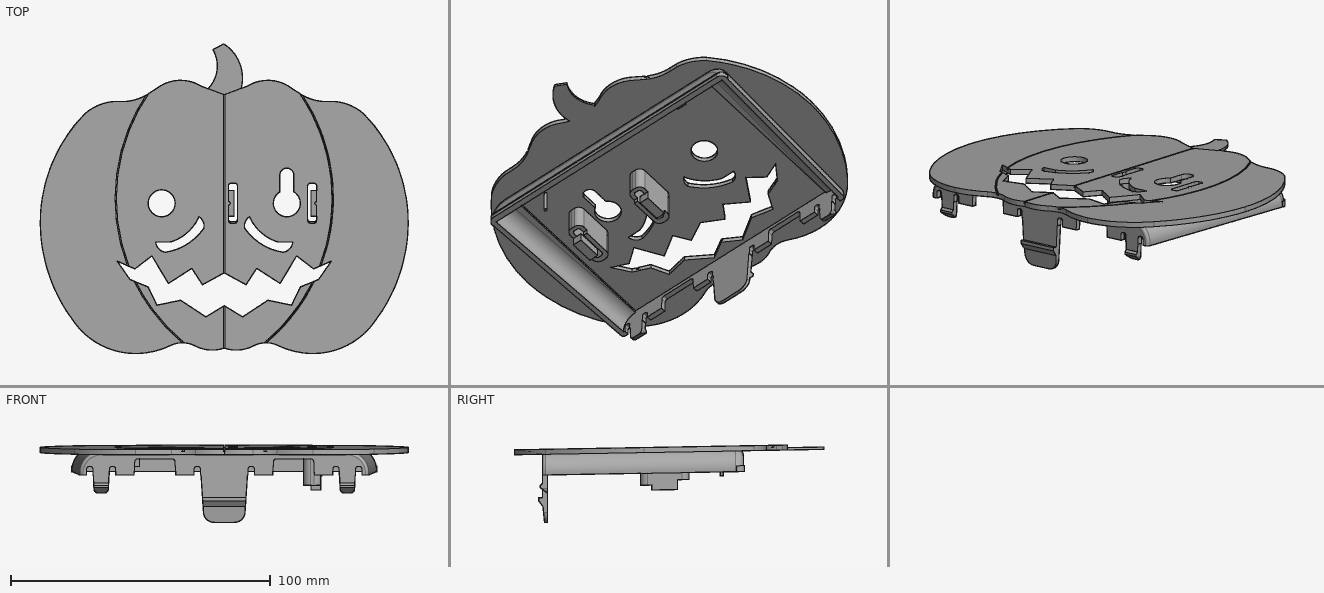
import cadquery as cq
import math

TILT = 1.0
SLOPE = math.tan(math.radians(TILT))
PLATE_T = 2.0
STEM_T = 1.0
GROOVE_W = 0.5
GROOVE_DEPTH = 0.8
RIB_ARC_R = 72.3
RIB_ARC_X = 30.5
RIB_ARC_Y = 1.8

EYE_X = 24.1
EYE_R = 5.15
KEYHOLE_W = 5.3
KEYHOLE_TOP = 13.5

LATCH_MID_X = 18.6
LATCH_OFFSET = 15.25
SLOT_W = 3.4
SLOT_L = 15.4
SLOT_R = 1.0
SLEEVE_WALL = 1.7
SLEEVE_STEP = 0.6
SLEEVE_DEPTH = 12.6
SLEEVE_BACK_DEPTH = 10.7
TONGUE_L = 10.0
TONGUE_REACH = 0.45
TONGUE_DEPTH = 14.5
TOOTH_H = 0.85
TOOTH_W = 1.8

FRONT_Y = -47.1
BACK_Y = 30.4
SKIRT_DEPTH = 8.0
WALL = 2.0
HALF_W_FRONT = 55.6
HALF_W_BACK = 58.7
SIDE_R = 8.0
BULGE_DEPTH = 7.0
FRONT_CORNER_R = 1.3
BACK_CORNER_R = 3.0
SKIRT_EXCESS = 1.0
LIP_H = 2.3
LIP_OUT = 0.4
LIP_HALF_W = 58.75
LIP_START_Y = 27.6

WINDOW_X = 26.7
WINDOW_W = 15.4
WINDOW_TOP = 1.7
WINDOW_FLARE = 0.35
WINDOW_R = 1.2
NOTCH_TOP = 4.7
NOTCH_R = 0.9
NOTCH_W = 2.4

MAIN_TOP_HALF = 9.2
MAIN_TIP_HALF = 7.8
MAIN_DEPTH = 26.23
MAIN_TIP_R = 4.2
MAIN_TIP_T = 1.2
MAIN_TIP_INSET = 0.2
MAIN_BARB_OUT = 1.4
MAIN_BARB_TOP = 16.6
MAIN_BARB_EDGE = 17.9
MAIN_BARB_END = 20.1
SIDE_TAB_X = 47.4
SIDE_TOP_HALF = 3.2
SIDE_TIP_HALF = 2.75
SIDE_DEPTH = 14.95
SIDE_TIP_R = 1.8
SIDE_HOOK_OUT = 0.9
SIDE_HOOK_TOP = 11.1
SIDE_HOOK_EDGE = 12.8

PIN_X, PIN_Y = 37.0, 22.0
PIN_D = 1.2
PIN_DEPTH = 9.5
BLOCK_X, BLOCK_L = -34.7, 4.0
BLOCK_DEPTH = 5.9

REACH = 200.0
MARGIN = 1.0


def slab(top, bottom):
    """All space between two sloping planes, given by their heights at Y = 0."""
    half = REACH / 2
    rise = half * SLOPE
    corners = [(-half, bottom - rise), (half, bottom + rise), (half, top + rise), (-half, top - rise)]
    return cq.Workplane("YZ").polyline(corners).close().extrude(half, both=True)


def layer(outline, top, bottom):
    """Upright prism of a closed plan outline, trimmed to the sloping slab."""
    return outline.extrude(REACH / 2, both=True).intersect(slab(top, bottom))


def box_outline(x0, x1, y0, y1):
    return cq.Workplane("XY").center((x0 + x1) / 2, (y0 + y1) / 2).rect(x1 - x0, y1 - y0)


def rounded_bar(width, length, radius, y=0):
    bar = cq.Sketch().rect(width, length).vertices().fillet(radius)
    return cq.Workplane("XY").center(0, y).placeSketch(bar)


def mirrored_pair(right):
    return right.union(right.mirror("YZ"))


def lobes():
    """Pumpkin body: a half outline of arcs, mirrored across X = 0."""
    half = (
        cq.Workplane("XY")
        .moveTo(0, 41.8)
        .lineTo(9.0, 45.2)
        .threePointArc((17.1, 47.4), (24.5, 45.3))
        .lineTo(28.0, 43.0)
        .threePointArc((33.3, 40.2), (39.5, 39.2))
        .lineTo(43.0, 39.2)
        .threePointArc((48.9, 37.6), (53.8, 34.4))
        .threePointArc((64.6, 19.2), (70.905, -8.0))
        .threePointArc((67.5, -27.6), (57.7, -45.9))
        .threePointArc((47.4, -54.7), (34.2, -57.9))
        .threePointArc((27.0, -57.05), (20.3, -54.6))
        .threePointArc((15.8, -53.75), (11.1, -55.0))
        .threePointArc((6.0, -56.5), (0, -55.8))
        .close()
    )
    return mirrored_pair(layer(half, PLATE_T, 0))


def stem():
    outline = (
        cq.Workplane("XY")
        .moveTo(0, 40.0)
        .lineTo(-6.1, 44.3)
        .threePointArc((-2.7, 52.5), (-4.4, 59.2))
        .lineTo(-0.2, 61.43)
        .threePointArc((5.6, 54.8), (6.6, 44.3))
        .close()
    )
    return layer(outline, STEM_T, 0)


def grooves():
    """Narrow grooves along the middle and around both edges of the middle lobes."""
    floor = PLATE_T - GROOVE_DEPTH
    middle = layer(cq.Workplane("XY").rect(GROOVE_W, REACH), PLATE_T + MARGIN, floor)
    ring = (
        cq.Workplane("XY")
        .center(-RIB_ARC_X, RIB_ARC_Y)
        .circle(RIB_ARC_R + GROOVE_W / 2)
        .circle(RIB_ARC_R - GROOVE_W / 2)
    )
    right_side = layer(box_outline(0, REACH / 2, -REACH, REACH), PLATE_T + MARGIN, floor)
    right = layer(ring, PLATE_T + MARGIN, floor).intersect(right_side)
    return middle.union(mirrored_pair(right))


def mouth():
    teeth = [
        (0, -26.8), (8.4, -31.4), (12.5, -25.1), (21.5, -30.9), (27.9, -20.3), (34.4, -25.3),
        (41.2, -22.3), (36.3, -29.3), (29.3, -32.2), (25.9, -39.2), (16.8, -37.3), (7.1, -43.7),
        (0, -39.4),
    ]
    return mirrored_pair(layer(cq.Workplane("XY").polyline(teeth).close(), PLATE_T + MARGIN, -MARGIN))


def cheeks():
    outline = (
        cq.Workplane("XY")
        .moveTo(9.7, -5.2)
        .threePointArc((14.2, -11.3), (20.5, -14.9))
        .lineTo(26.3, -15.0)
        .threePointArc((25.2, -17.5), (22.6, -18.8))
        .threePointArc((14.1, -15.6), (7.95, -9.7))
        .threePointArc((8.1, -7.2), (9.7, -5.2))
        .close()
    )
    return mirrored_pair(layer(outline, PLATE_T + MARGIN, -MARGIN))


def eyes():
    pupils = cq.Workplane("XY").pushPoints([(-EYE_X, 0), (EYE_X, 0)]).circle(EYE_R)
    holes = layer(pupils, PLATE_T + MARGIN, -MARGIN)
    shank_end = KEYHOLE_TOP - KEYHOLE_W / 2
    shank = box_outline(EYE_X - KEYHOLE_W / 2, EYE_X + KEYHOLE_W / 2, 0, shank_end)
    tip = cq.Workplane("XY").center(EYE_X, shank_end).circle(KEYHOLE_W / 2)
    for outline in (shank, tip):
        holes = holes.union(layer(outline, PLATE_T + MARGIN, -MARGIN))
    return holes


def latch_pair(shape):
    """Places a right-hand latch shape, built about X = 0, at both latch positions."""
    right = shape.translate((LATCH_OFFSET, 0, 0))
    return mirrored_pair(right).translate((LATCH_MID_X, 0, 0))


def latch_sleeve():
    outer = rounded_bar(SLOT_W + 2 * SLEEVE_WALL, SLOT_L + 2 * SLEEVE_WALL, SLOT_R + SLEEVE_WALL)
    bore = rounded_bar(SLOT_W, SLOT_L - SLEEVE_STEP, SLOT_R, SLEEVE_STEP / 2)
    behind = box_outline(-SLOT_L, SLOT_L, TONGUE_L / 2, SLOT_L)
    sleeve = layer(outer, 0, -SLEEVE_DEPTH)
    return sleeve.cut(layer(bore, PLATE_T, -REACH)).cut(layer(behind, -SLEEVE_BACK_DEPTH, -REACH))


def latch_slot():
    edge = SLOT_W / 2
    tooth = [(edge, -TOOTH_W / 2), (edge - TOOTH_H, 0), (edge, TOOTH_W / 2)]
    tooth_prism = layer(cq.Workplane("XY").polyline(tooth).close(), PLATE_T + MARGIN, -MARGIN)
    return layer(rounded_bar(SLOT_W, SLOT_L, SLOT_R), PLATE_T + MARGIN, -MARGIN).cut(tooth_prism)


def latch_tongue():
    outer_x = SLOT_W / 2 + SLEEVE_WALL
    outline = box_outline(-TONGUE_REACH, outer_x, -TONGUE_L / 2, TONGUE_L / 2)
    return layer(outline, -SLEEVE_BACK_DEPTH, -TONGUE_DEPTH)


def skirt_half(y0, y1, inset):
    """Right half of the skirt's solid, its faces moved inward by inset; it widens towards the back."""
    radius = SIDE_R - inset
    widening = (HALF_W_BACK - HALF_W_FRONT) / (BACK_Y - FRONT_Y)
    length = y1 - y0
    centre_x = HALF_W_FRONT + widening * (y0 - FRONT_Y) - SIDE_R
    centre_z = y0 * SLOPE - BULGE_DEPTH
    top_angle = math.pi / 2
    bottom_angle = math.asin((BULGE_DEPTH - SKIRT_DEPTH - SKIRT_EXCESS) / radius)

    def on_bulge(angle):
        return (centre_x + radius * math.cos(angle), centre_z + radius * math.sin(angle))

    overlap_x = -2 * widening * length
    section = (
        cq.Workplane("XZ", origin=(0, y0, 0))
        .moveTo(overlap_x, on_bulge(bottom_angle)[1])
        .lineTo(*on_bulge(bottom_angle))
        .threePointArc(on_bulge(0), on_bulge(top_angle))
        .lineTo(overlap_x, on_bulge(top_angle)[1])
        .close()
        .wire()
        .val()
    )
    sweep = cq.Vector(widening * length, length, SLOPE * length)
    return cq.Workplane(cq.Solid.extrudeLinear(section, [], sweep))


def skirt():
    outer = skirt_half(FRONT_Y, BACK_Y, 0)
    for end, radius in (("<Y", FRONT_CORNER_R), (">Y", BACK_CORNER_R)):
        outer = outer.faces(end).edges("not %LINE").fillet(radius)
    inner = skirt_half(FRONT_Y + WALL, BACK_Y - WALL, WALL)
    headroom_half = HALF_W_FRONT - SIDE_R
    headroom = box_outline(-headroom_half, headroom_half, FRONT_Y + WALL, BACK_Y - WALL)
    walls = mirrored_pair(outer).cut(mirrored_pair(inner)).cut(layer(headroom, PLATE_T, -BULGE_DEPTH))
    return walls.intersect(slab(0, -SKIRT_DEPTH))


def back_lip():
    """Low outward lip along the lower edge of the back wall and its corners."""
    outer = box_outline(-LIP_HALF_W, LIP_HALF_W, LIP_START_Y, BACK_Y + LIP_OUT)
    lip = layer(outer, LIP_H - SKIRT_DEPTH, -SKIRT_DEPTH).edges("|Z and >Y").fillet(BACK_CORNER_R)
    inner = box_outline(-HALF_W_BACK + WALL, HALF_W_BACK - WALL, 0, BACK_Y - WALL)
    return lip.cut(layer(inner, 0, -REACH))


FRONT_Z = FRONT_Y * SLOPE


def front_plane():
    """Work plane on the front wall: X across, height measured from the plate's underside."""
    return cq.Workplane("XZ", origin=(0, FRONT_Y, FRONT_Z))


def front_wall_openings():
    below = -SKIRT_DEPTH - MARGIN
    half = WINDOW_W / 2
    window = [
        (WINDOW_X - half, -WINDOW_TOP), (WINDOW_X + half, -WINDOW_TOP),
        (WINDOW_X + half + WINDOW_FLARE, below), (WINDOW_X - half - WINDOW_FLARE, below),
    ]
    cutter = front_plane().polyline(window).close().extrude(-WALL).edges("|Y and >Z").fillet(WINDOW_R)
    notch_h = -below - NOTCH_TOP
    notch_starts = (
        MAIN_TOP_HALF,
        SIDE_TAB_X - SIDE_TOP_HALF - NOTCH_W,
        SIDE_TAB_X + SIDE_TOP_HALF,
    )
    for x in notch_starts:
        notch = front_plane().center(x + NOTCH_W / 2, below + notch_h / 2).rect(NOTCH_W, notch_h)
        cutter = cutter.union(notch.extrude(-WALL).edges("|Y and >Z").fillet(NOTCH_R))
    return mirrored_pair(cutter)


def snap_tab(x, top_half, tip_half, depth, tip_r, profile):
    """Tapered tab with a rounded tip, shaped through its thickness by a (Y, depth) profile."""
    face = [
        (x - top_half, -NOTCH_TOP), (x + top_half, -NOTCH_TOP),
        (x + tip_half, -depth), (x - tip_half, -depth),
    ]
    blank = front_plane().polyline(face).close().extrude(2 * WALL, both=True)
    blank = blank.edges("|Y and <Z").fillet(tip_r)
    points = [(FRONT_Y + y, FRONT_Z - d) for y, d in profile]
    return blank.intersect(cq.Workplane("YZ").polyline(points).close().extrude(REACH / 2, both=True))


def main_tab():
    profile = [
        (WALL, 0), (0, 0), (0, MAIN_BARB_TOP), (-MAIN_BARB_OUT, MAIN_BARB_TOP),
        (-MAIN_BARB_OUT, MAIN_BARB_EDGE), (MAIN_TIP_INSET, MAIN_BARB_END),
        (WALL - MAIN_TIP_T, MAIN_DEPTH), (WALL, MAIN_DEPTH),
    ]
    return snap_tab(0, MAIN_TOP_HALF, MAIN_TIP_HALF, MAIN_DEPTH, MAIN_TIP_R, profile)


def side_tabs():
    profile = [
        (WALL, 0), (0, 0), (0, SIDE_HOOK_TOP), (-SIDE_HOOK_OUT, SIDE_HOOK_TOP + SIDE_HOOK_OUT),
        (-SIDE_HOOK_OUT, SIDE_HOOK_EDGE), (WALL, SIDE_DEPTH),
    ]
    return mirrored_pair(
        snap_tab(SIDE_TAB_X, SIDE_TOP_HALF, SIDE_TIP_HALF, SIDE_DEPTH, SIDE_TIP_R, profile)
    )


def studs():
    pin = layer(cq.Workplane("XY").center(PIN_X, PIN_Y).circle(PIN_D / 2), 0, -PIN_DEPTH)
    inner_back = BACK_Y - WALL
    block = box_outline(BLOCK_X - BLOCK_L / 2, BLOCK_X + BLOCK_L / 2, inner_back - WALL, inner_back)
    return pin.union(layer(block, 0, -BLOCK_DEPTH))


plate = lobes().union(stem())
for opening in (grooves(), mouth(), cheeks(), eyes(), latch_pair(latch_slot())):
    plate = plate.cut(opening)

result = skirt().cut(front_wall_openings()).union(plate)
latches = latch_pair(latch_sleeve()).union(latch_pair(latch_tongue()))
for piece in (back_lip(), main_tab(), side_tabs(), studs(), latches):
    result = result.union(piece)